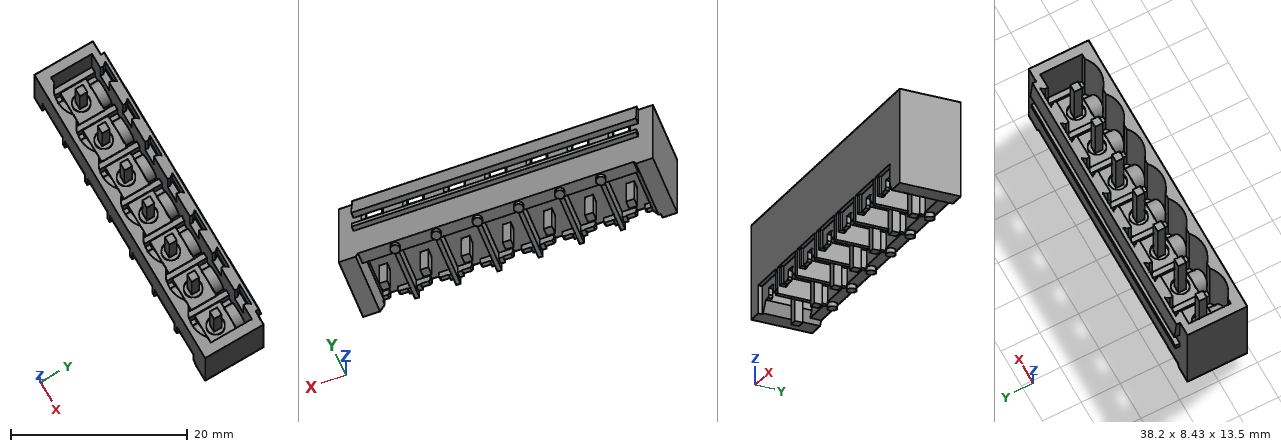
import cadquery as cq


PIN_COUNT = 7
PITCH = 5.0
PIN_ROW_Y = 3.8
PIN_SIDE = 1.0
PIN_TAIL = 1.5
PIN_TIP_Z = 11.0

LENGTH = 38.2
DEPTH = 7.7
HEIGHT = 12.0
END_WALL = 1.22
FRONT_WALL = 1.5
BACK_WALL = 0.85

DIVIDER_WIDTH = 0.7
CELL_WIDTH = PITCH - DIVIDER_WIDTH
SCALLOP_DEPTH = 0.8
FLOOR_Z = 3.0
DIVIDER_TOP_Z = 5.0
BARREL_RADIUS = 1.55
PLATE_TOP_Z = FLOOR_Z + BARREL_RADIUS
PLATE_FRONT_Y = 2.3
PLATE_BACK_Y = 5.65
PIN_RECESS_RADIUS = 1.07
PIN_RECESS_DEPTH = 0.4

LIP_INSET = 1.8
LIP_LENGTH = LENGTH - 2 * LIP_INSET
LIP_HEIGHT = 3.1
LIP_TOP_REACH = 0.45
LIP_BOTTOM_REACH = 0.73
RAIL_BOTTOM_Z = 5.95
RAIL_HEIGHT = 0.7
RAIL_REACH = 0.6
WINDOW_BOTTOM_Z = 7.87
WINDOW_INNER_WIDTH = 1.95
WINDOW_OUTER_WIDTH = 2.65
WINDOW_NECK = 0.4

RECESS_TOP_Z = 3.55
RECESS_DEPTH = 0.5
RECESS_LEFT_INSET = LIP_INSET
RECESS_RIGHT_INSET = 2.65
SKIN_BACK_Y = 2 * RECESS_DEPTH
SKIN_BOTTOM_Z = 1.38
BACK_BOTTOM_Z = 0.57
HOLLOW_TOP_Z = 2.52
FOOT_BOTTOM_WIDTH = 2.05
FOOT_TOP_WIDTH = 2.75
NOTCH_WIDTH = 1.05
NOTCH_MOUTH_WIDTH = 1.4
NOTCH_FLARE = 0.3
RIB_WIDTH = 0.55
RIB_BOTTOM_Z = 0.23
PILLAR_WIDTH = 1.6
PILLAR_FRONT_Y = RECESS_DEPTH / 2
PILLAR_BOTTOM_Z = 1.25
POST_RADIUS = 0.57
HOLLOW_BACK_Y = 6.3
POST_Y = (HOLLOW_BACK_Y + DEPTH) / 2

PIN_XS = [(i - (PIN_COUNT - 1) / 2) * PITCH for i in range(PIN_COUNT)]
BETWEEN_XS = [x + PITCH / 2 for x in PIN_XS[:-1]]
CAVITY_BACK_Y = DEPTH - BACK_WALL


def block(width, y_range, z_range, x=0.0):
    """Box of the given X width centred on x, between two Y and two Z values."""
    y0, y1 = y_range
    z0, z1 = z_range
    return (
        cq.Workplane("XY")
        .box(width, y1 - y0, z1 - z0, centered=(True, False, False))
        .translate((x, y0, z0))
    )


def front_prism(points, y_range):
    """Outline of (x, z) points, closed and extruded between two Y values."""
    y0, y1 = y_range
    return cq.Workplane("XZ", origin=(0, y0, 0)).polyline(points).close().extrude(y0 - y1)


def latch_lip():
    """Wedge along the top of the back face, reaching further out at its lower edge."""
    bottom_z = HEIGHT - LIP_HEIGHT
    return (
        cq.Workplane("YZ", origin=(-LIP_LENGTH / 2, 0, 0))
        .moveTo(DEPTH, bottom_z)
        .lineTo(DEPTH + LIP_BOTTOM_REACH, bottom_z)
        .lineTo(DEPTH + LIP_TOP_REACH, HEIGHT)
        .lineTo(DEPTH, HEIGHT)
        .close()
        .extrude(LIP_LENGTH)
    )


def cell_space(x):
    """Space of one contact cell above its floor: flat sides and back, bulging front."""
    half = CELL_WIDTH / 2
    return (
        cq.Workplane("XY", origin=(x, 0, FLOOR_Z))
        .moveTo(-half, CAVITY_BACK_Y)
        .lineTo(-half, FRONT_WALL)
        .threePointArc((0, FRONT_WALL - SCALLOP_DEPTH), (half, FRONT_WALL))
        .lineTo(half, CAVITY_BACK_Y)
        .close()
        .extrude(HEIGHT - FLOOR_Z)
    )


def cell_floor(x):
    """Half-round barrel running front to back, crossed by the flat plate that holds the pin."""
    barrel = (
        cq.Workplane("XZ", origin=(x, 0, FLOOR_Z))
        .moveTo(-BARREL_RADIUS, 0)
        .threePointArc((0, BARREL_RADIUS), (BARREL_RADIUS, 0))
        .close()
        .extrude(-CAVITY_BACK_Y)
        .intersect(cell_space(x))
    )
    plate = block(CELL_WIDTH, (PLATE_FRONT_Y, PLATE_BACK_Y), (FLOOR_Z, PLATE_TOP_Z), x)
    pin_recess = (
        cq.Workplane("XY", origin=(x, PIN_ROW_Y, PLATE_TOP_Z - PIN_RECESS_DEPTH))
        .circle(PIN_RECESS_RADIUS)
        .extrude(PIN_RECESS_DEPTH)
    )
    return barrel.union(plate).cut(pin_recess)


def window(x):
    """Dovetail slot through the back wall, open at the top and widening outward."""
    inner = WINDOW_INNER_WIDTH / 2
    outer = WINDOW_OUTER_WIDTH / 2
    neck_y = CAVITY_BACK_Y + WINDOW_NECK
    return (
        cq.Workplane("XY", origin=(x, 0, WINDOW_BOTTOM_Z))
        .moveTo(-inner, CAVITY_BACK_Y)
        .lineTo(-inner, neck_y)
        .lineTo(-outer, DEPTH)
        .lineTo(outer, DEPTH)
        .lineTo(inner, neck_y)
        .lineTo(inner, CAVITY_BACK_Y)
        .close()
        .extrude(HEIGHT - WINDOW_BOTTOM_Z)
    )


def foot_gap(top_z, y_range):
    """Open space between the two end feet, whose inner sides slope outward going down."""
    bottom = LENGTH / 2 - FOOT_BOTTOM_WIDTH
    slope = (FOOT_TOP_WIDTH - FOOT_BOTTOM_WIDTH) / SKIN_BOTTOM_Z
    top = bottom - slope * top_z
    return front_prism([(-bottom, 0), (bottom, 0), (top, top_z), (-top, top_z)], y_range)


def skin_notch(x):
    """Opening in the front skin at one pin, flared at its lower end."""
    half = NOTCH_WIDTH / 2
    mouth = NOTCH_MOUTH_WIDTH / 2
    flare_z = SKIN_BOTTOM_Z + NOTCH_FLARE
    points = [
        (x - mouth, SKIN_BOTTOM_Z),
        (x - half, flare_z),
        (x - half, HOLLOW_TOP_Z),
        (x + half, HOLLOW_TOP_Z),
        (x + half, flare_z),
        (x + mouth, SKIN_BOTTOM_Z),
    ]
    return front_prism(points, (RECESS_DEPTH, SKIN_BACK_Y))


def underside_support(x):
    """Front pillar, thin rib and rear standoff post between two neighbouring pins."""
    pillar = block(PILLAR_WIDTH, (PILLAR_FRONT_Y, SKIN_BACK_Y), (PILLAR_BOTTOM_Z, RECESS_TOP_Z), x)
    rib_lower = block(RIB_WIDTH, (0, HOLLOW_BACK_Y), (RIB_BOTTOM_Z, HOLLOW_TOP_Z), x)
    rib_upper = block(RIB_WIDTH, (0, RECESS_DEPTH), (HOLLOW_TOP_Z, RECESS_TOP_Z), x)
    post = (
        cq.Workplane("XY", origin=(x, POST_Y, 0))
        .circle(POST_RADIUS)
        .extrude(HOLLOW_TOP_Z)
    )
    return pillar.union(rib_lower).union(rib_upper).union(post)


def make_pin(x):
    """Straight square contact pin."""
    y_range = (PIN_ROW_Y - PIN_SIDE / 2, PIN_ROW_Y + PIN_SIDE / 2)
    return block(PIN_SIDE, y_range, (-PIN_TAIL, PIN_TIP_Z), x)


def make_housing():
    """Open-topped shell with contact cells, latch features and a hollow underside."""
    body = block(LENGTH, (0, DEPTH), (0, HEIGHT))
    body = body.union(latch_lip())
    rail_z = (RAIL_BOTTOM_Z, RAIL_BOTTOM_Z + RAIL_HEIGHT)
    body = body.union(block(LIP_LENGTH, (DEPTH, DEPTH + RAIL_REACH), rail_z))

    cavity_length = LENGTH - 2 * END_WALL
    body = body.cut(block(cavity_length, (FRONT_WALL, CAVITY_BACK_Y), (DIVIDER_TOP_Z, HEIGHT)))
    for x in PIN_XS:
        body = body.cut(cell_space(x)).union(cell_floor(x)).cut(window(x))

    recess_length = LENGTH - RECESS_LEFT_INSET - RECESS_RIGHT_INSET
    recess_x = (RECESS_LEFT_INSET - RECESS_RIGHT_INSET) / 2
    body = body.cut(block(recess_length, (0, RECESS_DEPTH), (0, RECESS_TOP_Z), recess_x))
    body = body.cut(foot_gap(BACK_BOTTOM_Z, (0, DEPTH)))
    body = body.cut(foot_gap(SKIN_BOTTOM_Z, (0, HOLLOW_BACK_Y)))
    hollow_length = LENGTH - 2 * FOOT_TOP_WIDTH
    body = body.cut(block(hollow_length, (SKIN_BACK_Y, HOLLOW_BACK_Y), (SKIN_BOTTOM_Z, HOLLOW_TOP_Z)))
    for x in PIN_XS:
        body = body.cut(skin_notch(x))
    for x in BETWEEN_XS:
        body = body.union(underside_support(x))

    for x in PIN_XS:
        body = body.cut(make_pin(x))
    return body


housing = make_housing()
pins = [make_pin(x) for x in PIN_XS]

result = cq.Compound.makeCompound([housing.solids().val(), *[pin.val() for pin in pins]])